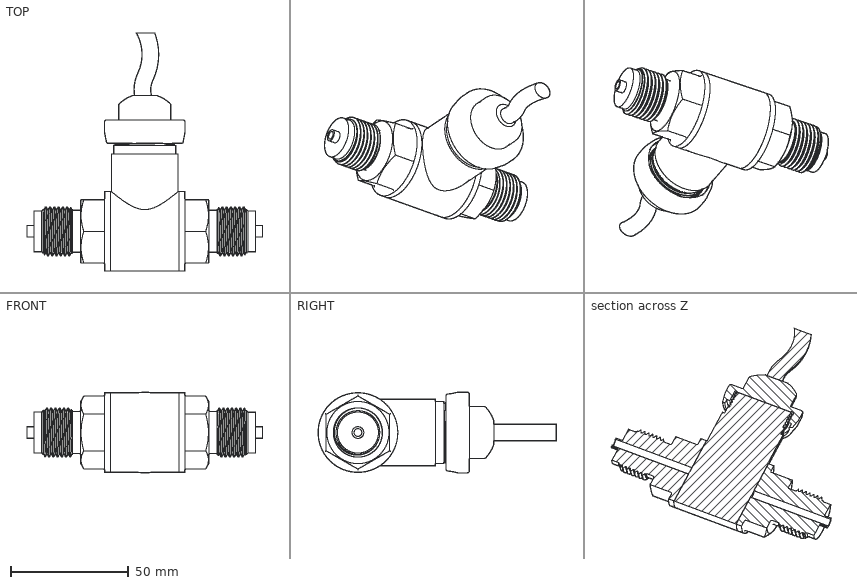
import cadquery as cq
import math

overall_length = 101.58
run_diameter = 34.0
run_half_length = 14.6
branch_diameter = 28.5
branch_end = 33.0
collar_diameter = 26.5
collar_end = 36.6
neck_end = 45.0
neck_core_diameter = 25.13
neck_thread_diameter = 26.5
neck_thread_pitch = 1.5

flange_end = 17.1
hex_end = 27.3
hex_across_flats = 27.0
hex_chamfer_diameter = 26.5
hex_chamfer_angle = 30.0
hex_root_fillet = 0.5
relief_diameter = 18.0
relief_fillet = 0.5
thread_start = 30.8
thread_end = 43.3
lead_cone_end = 44.0
thread_diameter = 20.955
thread_core_diameter = 18.63
thread_pitch = 1.814
spigot_diameter = 17.5
spigot_end = 47.2
tip_diameter = 5.0
tip_end = 50.2
bore_diameter = 3.3

rim_diameter = 34.5
rim_bottom_diameter = 32.6
rim_bottom = 37.5
rim_taper_top = 42.5
rim_top = 47.5
rim_top_fillet = 1.0
rim_bottom_fillet = 0.8
recess_diameter = 30.0
recess_depth = 2.0
neck_bore_diameter = 27.21
crown_diameter = 22.3
dome_top = 57.9
dome_flat_diameter = 10.4
dome_radius = 15.8
dome_fillet = 1.2

cable_diameter = 7.2
cable_end = overall_length - run_diameter / 2
cable_lower_bend_radius = 13.0
cable_upper_bend_radius = 22.0
cable_lower_bend = (-1.0, 60.3)
cable_sway = 3.4
cable_root_angle = 25.0
cable_tail_angle = 40.0

thread_flank_angle = 27.5
thread_crest_width_ratio = 1 / 6
thread_lead = 0.7
thread_inset = 0.2
thread_root_overlap = 0.1
thread_envelope_margin = 0.1


def cylinder(diameter, start, end):
    """Plain cylinder about Z."""
    return cq.Workplane("XY", origin=(0, 0, start)).circle(diameter / 2).extrude(end - start)


def revolve_about_z(profile):
    """Solid of revolution from (radius, height) points."""
    return cq.Workplane("XZ").polyline(profile).close().revolve(360, (0, 0, 0), (0, 1, 0))


def thread_ridge(root_diameter, crest_diameter, pitch, start, end):
    """Helical ridge about Z, rooted slightly inside its core and tapered to nothing at both ends."""
    crest_radius = crest_diameter / 2
    foot_radius = root_diameter / 2 - thread_root_overlap
    crest_half = pitch * thread_crest_width_ratio / 2
    foot_half = crest_half + (crest_radius - foot_radius) * math.tan(math.radians(thread_flank_angle))
    helix_start = start - pitch
    helix_length = end - start + 2 * pitch
    helix = cq.Wire.makeHelix(pitch, helix_length, foot_radius, center=cq.Vector(0, 0, helix_start))
    section = [
        (foot_radius, helix_start - foot_half),
        (crest_radius, helix_start - crest_half),
        (crest_radius, helix_start + crest_half),
        (foot_radius, helix_start + foot_half),
    ]
    first = start + thread_inset
    last = end - thread_inset
    ridge = cq.Workplane("XZ").polyline(section).close().sweep(cq.Workplane(helix), isFrenet=True)
    envelope_radius = crest_radius + thread_envelope_margin
    envelope = revolve_about_z(
        [
            (0, first),
            (foot_radius, first),
            (envelope_radius, first + thread_lead),
            (envelope_radius, last - thread_lead),
            (foot_radius, last),
            (0, last),
        ]
    )
    return ridge.intersect(envelope)


def z_to_y(shape):
    """Turn a shape built along +Z so that it runs along +Y."""
    return shape.rotate((0, 0, 0), (1, 0, 0), -90)


def make_housing():
    """Cylindrical run along X with a stepped, threaded branch along +Y."""
    run = cq.Workplane("YZ").circle(run_diameter / 2).extrude(run_half_length, both=True)
    branch = cylinder(branch_diameter, 0, branch_end)
    collar = cylinder(collar_diameter, 0, collar_end)
    neck = cylinder(neck_core_diameter, 0, neck_end)
    ridge = thread_ridge(neck_core_diameter, neck_thread_diameter, neck_thread_pitch, collar_end, neck_end)
    stem = branch.union(collar).union(neck.union(ridge))
    return run.union(z_to_y(stem))


def make_hex():
    """Hexagon along +Z on a round flange, its far corners turned to a cone."""
    corner_radius = hex_across_flats / 2 / math.cos(math.pi / 6)
    chamfer_face_radius = hex_chamfer_diameter / 2
    chamfer_drop = (corner_radius - chamfer_face_radius) * math.tan(math.radians(hex_chamfer_angle))
    prism = (
        cq.Workplane("XY", origin=(0, 0, flange_end))
        .polygon(6, 2 * corner_radius)
        .extrude(hex_end - flange_end)
    )
    turned_blank = revolve_about_z(
        [
            (0, flange_end),
            (corner_radius, flange_end),
            (corner_radius, hex_end - chamfer_drop),
            (chamfer_face_radius, hex_end),
            (0, hex_end),
        ]
    )
    flange = cylinder(run_diameter, run_half_length, flange_end)
    root_zone = cq.selectors.BoxSelector(
        (-corner_radius, -corner_radius, flange_end - hex_root_fillet),
        (corner_radius, corner_radius, flange_end + hex_root_fillet),
    )
    return flange.union(prism.intersect(turned_blank)).edges("%LINE").edges(root_zone).fillet(hex_root_fillet)


def make_fitting():
    """Flanged hexagon, relief neck, threaded spigot and bored tip along +Z."""
    relief_radius = relief_diameter / 2
    thread_core_radius = thread_core_diameter / 2
    spigot_radius = spigot_diameter / 2
    tip_radius = tip_diameter / 2
    turned = (
        cq.Workplane("XZ")
        .moveTo(0, run_half_length)
        .lineTo(relief_radius + relief_fillet, run_half_length)
        .lineTo(relief_radius + relief_fillet, hex_end)
        .radiusArc((relief_radius, hex_end + relief_fillet), relief_fillet)
        .lineTo(relief_radius, thread_start)
        .lineTo(thread_core_radius, thread_start)
        .lineTo(thread_core_radius, thread_end)
        .lineTo(spigot_radius, lead_cone_end)
        .lineTo(spigot_radius, spigot_end)
        .lineTo(tip_radius, spigot_end)
        .lineTo(tip_radius, tip_end)
        .lineTo(0, tip_end)
        .close()
        .revolve(360, (0, 0, 0), (0, 1, 0))
    )
    ridge = thread_ridge(thread_core_diameter, thread_diameter, thread_pitch, thread_start, thread_end)
    bore = cylinder(bore_diameter, run_half_length, tip_end)
    return make_hex().union(turned.union(ridge.rotate((0, 0, 0), (0, 0, 1), 0))).cut(bore)


def make_cap():
    """Nut rim and domed crown along +Z, hollow over the housing neck."""
    crown_radius = crown_diameter / 2
    dome_flat_radius = dome_flat_diameter / 2
    dome_centre = dome_top - math.sqrt(dome_radius**2 - dome_flat_radius**2)
    dome_edge = dome_centre + math.sqrt(dome_radius**2 - crown_radius**2)
    crown = (
        cq.Workplane("XZ")
        .moveTo(0, rim_taper_top)
        .lineTo(crown_radius, rim_taper_top)
        .lineTo(crown_radius, dome_edge)
        .radiusArc((dome_flat_radius, dome_top), -dome_radius)
        .lineTo(0, dome_top)
        .close()
        .revolve(360, (0, 0, 0), (0, 1, 0))
        .edges(cq.selectors.NearestToPointSelector((0, 0, dome_edge)))
        .fillet(dome_fillet)
    )
    rim = revolve_about_z(
        [
            (0, rim_bottom),
            (rim_bottom_diameter / 2, rim_bottom),
            (rim_diameter / 2, rim_taper_top),
            (rim_diameter / 2, rim_top),
            (0, rim_top),
        ]
    )
    rim = rim.faces(">Z").edges().fillet(rim_top_fillet)
    rim = rim.faces("<Z").edges().fillet(rim_bottom_fillet)
    recess = cylinder(recess_diameter, rim_bottom, rim_bottom + recess_depth)
    neck_bore = cylinder(neck_bore_diameter, rim_bottom, neck_end)
    return z_to_y(rim.union(crown).cut(recess).cut(neck_bore))


def point_on_circle(centre, radius, degrees):
    """Point of a circle in the XY plane at an angle from +X."""
    angle = math.radians(degrees)
    return (centre[0] + radius * math.cos(angle), centre[1] + radius * math.sin(angle))


def make_cable():
    """Round cable along two tangent arcs in the XY plane, cut square to Y at the dome and at its free end."""
    lower_radius = cable_lower_bend_radius
    upper_radius = cable_upper_bend_radius
    radius_sum = lower_radius + upper_radius
    turn = math.degrees(math.acos(1 - cable_sway / radius_sum))
    lower_centre = (cable_lower_bend[0] + lower_radius, cable_lower_bend[1])
    upper_centre = (
        lower_centre[0] - radius_sum * math.cos(math.radians(turn)),
        lower_centre[1] + radius_sum * math.sin(math.radians(turn)),
    )
    root = point_on_circle(lower_centre, lower_radius, 180 + cable_root_angle)
    inflection = point_on_circle(lower_centre, lower_radius, 180 - turn)
    path = (
        cq.Workplane("XY")
        .moveTo(*root)
        .threePointArc(cable_lower_bend, inflection)
        .threePointArc(
            point_on_circle(upper_centre, upper_radius, 0),
            point_on_circle(upper_centre, upper_radius, cable_tail_angle),
        )
    )
    root_angle = math.radians(cable_root_angle)
    root_plane = cq.Plane(
        origin=(*root, 0),
        xDir=(0, 0, 1),
        normal=(-math.sin(root_angle), math.cos(root_angle), 0),
    )
    strand = cq.Workplane(root_plane).circle(cable_diameter / 2).sweep(path)
    return strand.intersect(z_to_y(cylinder(run_diameter, dome_top, cable_end)))


housing = make_housing()
fitting = make_fitting()
fittings = [fitting.rotate((0, 0, 0), (0, 1, 0), angle) for angle in (90, -90)]
cable = make_cable()
cap = make_cap()

result = cq.Compound.makeCompound(
    [housing.val(), *[end.val() for end in fittings], cap.val(), cable.val()]
)